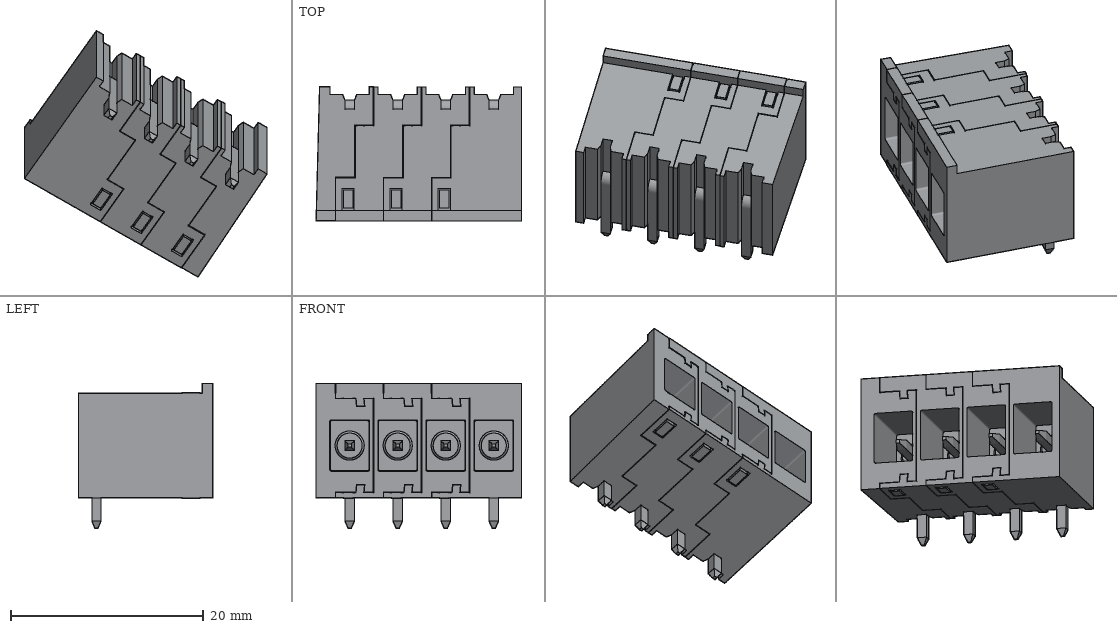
import cadquery as cq


pole_count = 4
row_length = 21.4
first_pin_x = 3.5
pin_span = 15.0
pitch = pin_span / (pole_count - 1)
half_pitch = pitch / 2
left_end = -first_pin_x
right_end = row_length - first_pin_x - pin_span
gap = 0.05

housing_depth = 13.97
body_height = 10.9
lip_rise = 1.03
lip_depth = 1.13
housing_height = body_height + lip_rise
end_wall_draft = 0.36

first_housing_offset = 0.05

flap_thickness = 0.54
flap_front_x = -1.45
flap_front_depth = 4.52
flap_rear_x = 0.55
flap_depth = 9.95

hook_left = 0.66
hook_width = 0.8
hook_height = 0.81
hook_lean = 0.09

bump_x = -0.17
bump_width = 0.98
bump_front = 1.37
bump_rear = 3.25
bump_rise = 0.06
window_clearance = 0.15

pin_size = 1.0
pin_z = 5.44
pin_leg_depth = 0.96
pin_tip_size = 0.35
pin_drop = 3.19
solder_tip_length = 0.75
contact_tip_length = 1.71
contact_tip_y = 1.85

pocket_width = 4.15
pocket_height = 5.35
pocket_depth = 8.99
pocket_draft = 0.06
pocket_corner_radius = 0.2
collar_base_diameter = 3.04
collar_top_diameter = 2.61
collar_height = 0.21

notch_half_width = 2.03
notch_depth = 0.77
funnel_half_width = 0.73
funnel_depth = 0.58
pin_rear = housing_depth - notch_depth - funnel_depth
pin_front = pin_rear - pin_leg_depth


def box(x_range, y_range, z_range):
    """Axis-aligned block between the given limits."""
    size = [high - low for low, high in (x_range, y_range, z_range)]
    corner = (x_range[0], y_range[0], z_range[0])
    return cq.Workplane("XY").box(*size, centered=False).translate(corner)


def side_envelope():
    """L-shaped side profile of the housing, long enough to cover any pole and its flaps."""
    envelope_depth = housing_depth + first_housing_offset
    profile = [
        (0, 0),
        (envelope_depth, 0),
        (envelope_depth, body_height),
        (lip_depth, body_height),
        (lip_depth, housing_height),
        (0, housing_height),
    ]
    return cq.Workplane("YZ").polyline(profile).close().extrude(row_length, both=True)


def body_block(front_left, rear_left, right, end_offset):
    """Pole body cut from its plan outline, with the notch and pin slot at the rear."""
    notch_floor = housing_depth - notch_depth
    half_pin = pin_size / 2
    rear = housing_depth + end_offset
    plan = [
        (front_left, end_offset),
        (right, end_offset),
        (right, rear),
        (notch_half_width, rear),
        (notch_half_width, notch_floor),
        (funnel_half_width, notch_floor),
        (half_pin, pin_rear),
        (half_pin, pin_front),
        (-half_pin, pin_front),
        (-half_pin, pin_rear),
        (-funnel_half_width, notch_floor),
        (-notch_half_width, notch_floor),
        (-notch_half_width, rear),
        (rear_left, rear),
    ]
    block = cq.Workplane("XY").polyline(plan).close().extrude(housing_height)
    return block.intersect(side_envelope())


def flap_plate(z_low, z_high, clearance, step_clearance):
    """Stepped plate over the pole at X = 0, grown by the clearances on its free sides."""
    front_x = flap_front_x - clearance
    rear_x = flap_rear_x - clearance
    step_y = flap_front_depth + step_clearance
    rear_y = flap_depth + clearance
    plan = [
        (front_x, 0),
        (half_pitch, 0),
        (half_pitch, rear_y),
        (rear_x, rear_y),
        (rear_x, step_y),
        (front_x, step_y),
    ]
    plate = cq.Workplane("XY").workplane(offset=z_low).polyline(plan).close()
    return plate.extrude(z_high - z_low)


def hook(root_z, direction, clearance):
    """Leaning hook that grows from a flap, up for direction 1 and down for -1."""
    left = hook_left - clearance
    right = hook_left + hook_width + clearance
    tip_z = root_z + direction * (hook_height + clearance)
    section = [
        (left, root_z),
        (right, root_z),
        (right + hook_lean, tip_z),
        (left + hook_lean, tip_z),
    ]
    return cq.Workplane("XZ").polyline(section).close().extrude(-flap_depth - clearance)


def flap_pair(clearance, step_clearance):
    """Upper and lower flaps with their hooks, lying around the pole at X = 0."""
    upper_z = body_height - flap_thickness
    upper = flap_plate(upper_z - clearance, housing_height, clearance, step_clearance)
    lower = flap_plate(0, flap_thickness + clearance, clearance, step_clearance)
    upper_hook = hook(upper_z, -1, clearance)
    lower_hook = hook(flap_thickness, 1, clearance)
    return upper.union(upper_hook).union(lower).union(lower_hook)


def latch_column(front, clearance):
    """Bump-shaped column through both flaps, grown by the clearance at its sides and rear."""
    half_width = bump_width / 2 + clearance
    x_range = (bump_x - half_width, bump_x + half_width)
    y_range = (front, bump_rear + clearance)
    return box(x_range, y_range, (-bump_rise, body_height + bump_rise))


def latch_bumps():
    """Bumps standing in the upper and lower flap windows."""
    core = box(
        (-half_pitch, half_pitch),
        (0, housing_depth),
        (flap_thickness + gap, body_height - flap_thickness - gap),
    )
    return latch_column(bump_front, 0).cut(core)


def mating_pocket():
    """Tapered pocket with rounded corners, open at the mating face."""
    mouth = cq.Sketch().rect(pocket_width, pocket_height)
    mouth = mouth.vertices().fillet(pocket_corner_radius)
    floor = cq.Sketch().rect(pocket_width - 2 * pocket_draft, pocket_height - 2 * pocket_draft)
    floor = floor.vertices().fillet(pocket_corner_radius)
    floor = floor.moved(cq.Location(cq.Vector(0, 0, -pocket_depth)))
    return cq.Workplane("XZ", origin=(0, 0, pin_z)).placeSketch(mouth, floor).loft()


def floor_collar():
    """Low conical collar around the pin on the pocket floor."""
    base = cq.Workplane("XZ", origin=(0, pocket_depth, pin_z)).circle(collar_base_diameter / 2)
    return base.workplane(offset=collar_height).circle(collar_top_diameter / 2).loft()


def pin_passage():
    """Square hole for the horizontal leg of the pin, from the collar to the rear slot."""
    section = cq.Workplane("XZ", origin=(0, pin_front, pin_z)).rect(pin_size, pin_size)
    return section.extrude(pin_front - pocket_depth + collar_height)


def make_housing(is_first, is_last):
    """One pole housing; inner poles overlap the pole on their left."""
    front_left = left_end if is_first else -half_pitch
    rear_left = left_end + end_wall_draft if is_first else -half_pitch
    right = right_end if is_last else half_pitch - gap
    end_offset = first_housing_offset if is_first else 0
    housing = body_block(front_left, rear_left, right, end_offset)
    if not is_last:
        housing = housing.cut(flap_pair(gap, gap + end_offset)).union(latch_bumps())
    if not is_first:
        flap_windows = latch_column(lip_depth, window_clearance)
        flaps = flap_pair(0, 0).intersect(side_envelope()).cut(flap_windows)
        housing = housing.union(flaps.translate((-pitch, 0, 0)))
    return housing.cut(mating_pocket()).union(floor_collar()).cut(pin_passage())


def make_pin():
    """Right-angle pin with a rounded outer bend and a tapered tip at each end."""
    leg_bottom = solder_tip_length - pin_drop
    leg_front = contact_tip_y + contact_tip_length
    top = pin_z + pin_size / 2
    under = pin_z - pin_size / 2
    bend = (
        cq.Workplane("YZ")
        .moveTo(leg_front, under)
        .lineTo(pin_front, under)
        .lineTo(pin_front, leg_bottom)
        .lineTo(pin_rear, leg_bottom)
        .lineTo(pin_rear, top - pin_leg_depth)
        .radiusArc((pin_front, top), -pin_leg_depth)
        .lineTo(leg_front, top)
        .close()
        .extrude(pin_size / 2, both=True)
    )
    contact_base = cq.Workplane("XZ", origin=(0, leg_front, pin_z)).rect(pin_size, pin_size)
    contact_tip = contact_base.workplane(offset=contact_tip_length).rect(pin_tip_size, pin_tip_size).loft()
    solder_y = (pin_front + pin_rear) / 2
    solder_base = cq.Workplane("XY", origin=(0, solder_y, leg_bottom)).rect(pin_size, pin_leg_depth)
    solder_tip = solder_base.workplane(offset=-solder_tip_length).rect(pin_tip_size, pin_tip_size).loft()
    return bend.union(contact_tip).union(solder_tip)


housings = []
pins = []
for pole in range(pole_count):
    is_first = pole == 0
    is_last = pole == pole_count - 1
    position = (first_pin_x + pole * pitch, 0, 0)
    housings.append(make_housing(is_first, is_last).translate(position).solids().val())
    pins.append(make_pin().translate(position).solids().val())

result = cq.Compound.makeCompound([*housings, *pins])